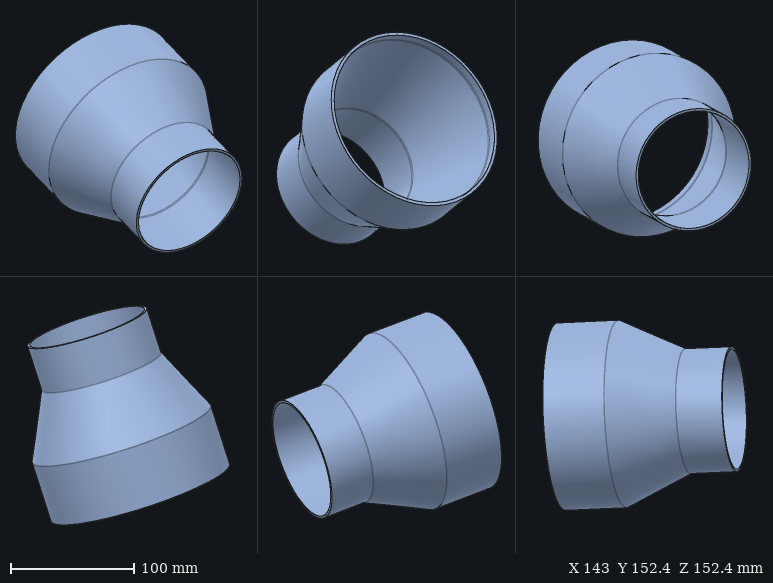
import cadquery as cq

total_length = 143.0
large_outer_radius = 152.4 / 2
large_inner_radius = 146.9 / 2
small_outer_radius = 101.7 / 2
small_inner_radius = 97.4 / 2

large_end_length = 50.7
small_end_length = 38.1
outer_blend_radius = 0.8

large_bore_depth = 9.5
small_bore_length = small_end_length + large_bore_depth
inner_blend_radius = 6.1


def stepped_solid(large_radius, large_length, small_radius, small_length, blend_radius):
    """Cylinder, cone and smaller cylinder about the X axis, with rounded joints."""
    cone_start = large_length
    cone_end = total_length - small_length
    half_profile = (
        cq.Workplane("XY")
        .lineTo(0, large_radius)
        .lineTo(cone_start, large_radius)
        .lineTo(cone_end, small_radius)
        .lineTo(total_length, small_radius)
        .lineTo(total_length, 0)
        .close()
    )
    solid = half_profile.revolve(360, (0, 0, 0), (1, 0, 0))

    joints = solid.edges("%CIRCLE").edges("not(<X or >X)")
    return joints.fillet(blend_radius)


outer_body = stepped_solid(
    large_outer_radius,
    large_end_length,
    small_outer_radius,
    small_end_length,
    outer_blend_radius,
)
bore = stepped_solid(
    large_inner_radius,
    large_bore_depth,
    small_inner_radius,
    small_bore_length,
    inner_blend_radius,
)
result = outer_body.cut(bore)